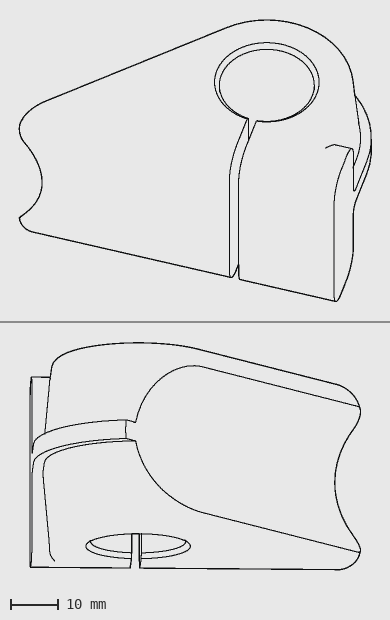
import cadquery as cq
import math

HEIGHT = 40.0
BODY_RADIUS = 19.9
BODY_DRAFT = 5.2
RIM_RADIUS = 1.7
CLAMP_ANGLE = -45
FACE_ALONG = 23.8
FACE_ROUNDING = 5.0

RIB_RADIUS = 22.0
RIB_WIDTH = 4.0
BLOCK_START = 9.8
RIB_BLOCK_FILLET = 2.0

GROOVE_RADIUS = 25.5
GROOVE_FLOOR = -13.0

BORE_RADIUS = 10.0
BORE_CHAMFER = 1.0
SLIT_WIDTH = 2.0

HALF_HEIGHT = HEIGHT / 2
DIAGONAL = math.sqrt(2)
ARC_MIDDLE_ANGLE = (180 - CLAMP_ANGLE) / 2


def clamp_point(along, across):
    """XY position of a point given in the clamp frame."""
    return ((along + across) / DIAGONAL, (across - along) / DIAGONAL)


def in_clamp_frame(shape):
    """Turn a shape modelled with X along and Y across the slit."""
    return shape.rotate((0, 0, 0), (0, 0, 1), CLAMP_ANGLE)


def clamp_bar(start, end, across_start, across_end):
    """Full-height bar between two distances along the slit."""
    bar = cq.Workplane("XY").box(end - start, across_end - across_start, HEIGHT)
    return bar.translate(((start + end) / 2, (across_start + across_end) / 2, 0))


def make_body():
    """Teardrop body, widest at mid height and rounded along its outer rim."""
    far_along = FACE_ALONG + BODY_RADIUS / DIAGONAL
    tip = (-BODY_RADIUS, -BODY_RADIUS - DIAGONAL * far_along)
    arc_middle = math.radians(ARC_MIDDLE_ANGLE)
    outline = (
        cq.Workplane("XY")
        .moveTo(*tip)
        .lineTo(-BODY_RADIUS, 0)
        .threePointArc(
            (BODY_RADIUS * math.cos(arc_middle), BODY_RADIUS * math.sin(arc_middle)),
            clamp_point(0, BODY_RADIUS),
        )
        .lineTo(*clamp_point(far_along, BODY_RADIUS))
        .close()
        .extrude(HALF_HEIGHT, taper=BODY_DRAFT)
    )
    reach = 4 * BODY_RADIUS
    envelope = clamp_bar(-reach, FACE_ALONG, -reach, reach).edges(">X and |Y").fillet(FACE_ROUNDING)
    upper = outline.intersect(in_clamp_frame(envelope))
    upper = upper.faces(">Z").edges("<X").fillet(RIM_RADIUS)
    body = upper.union(upper.mirror("XY"))
    corner = clamp_bar(BLOCK_START + FACE_ROUNDING, FACE_ALONG, 0, RIB_RADIUS)
    return body.cut(in_clamp_frame(corner))


def make_rib():
    """Thin mid-height rib around the round end and along the side face to the clamp block."""
    disc = cq.Workplane("XY").circle(RIB_RADIUS).extrude(RIB_WIDTH / 2, both=True)
    upper_half = cq.Workplane("XY").box(2 * RIB_RADIUS, RIB_RADIUS, RIB_WIDTH)
    upper_half = upper_half.translate((0, RIB_RADIUS / 2, 0))
    straight = cq.Workplane("XY").box(BLOCK_START, RIB_RADIUS, RIB_WIDTH)
    straight = straight.translate((BLOCK_START / 2, RIB_RADIUS / 2, 0))
    return disc.intersect(upper_half).union(in_clamp_frame(straight))


def make_rib_fillets():
    """Concave fillets between the rib's flat sides and the inner side of the clamp block."""
    start = BLOCK_START - RIB_BLOCK_FILLET
    half_outer = RIB_WIDTH / 2 + RIB_BLOCK_FILLET
    web = cq.Workplane("XY").box(RIB_BLOCK_FILLET, RIB_RADIUS, 2 * half_outer)
    web = web.translate((start + RIB_BLOCK_FILLET / 2, RIB_RADIUS / 2, 0))
    for side in (-1, 1):
        hollow = cq.Workplane("XZ").center(start, side * half_outer).circle(RIB_BLOCK_FILLET)
        web = web.cut(hollow.extrude(-RIB_RADIUS))
    return in_clamp_frame(web)


def make_clamp_block():
    """Raised block outside the slit, with rounded top and bottom corners."""
    block = clamp_bar(BLOCK_START, FACE_ALONG, 0, RIB_RADIUS)
    return in_clamp_frame(block.edges("|Y").fillet(FACE_ROUNDING))


def make_groove():
    """Shallow cylindrical seat along Y, hollowing the left side."""
    length = 4 * FACE_ALONG
    cylinder = cq.Workplane("XZ").circle(GROOVE_RADIUS).extrude(length, both=True)
    return cylinder.translate((GROOVE_FLOOR - GROOVE_RADIUS, 0, 0))


def make_bore():
    """Through bore with a chamfer at each mouth."""
    mouth = BORE_RADIUS + BORE_CHAMFER
    return (
        cq.Workplane("XZ")
        .moveTo(0, -HALF_HEIGHT)
        .lineTo(mouth, -HALF_HEIGHT)
        .lineTo(BORE_RADIUS, BORE_CHAMFER - HALF_HEIGHT)
        .lineTo(BORE_RADIUS, HALF_HEIGHT - BORE_CHAMFER)
        .lineTo(mouth, HALF_HEIGHT)
        .lineTo(0, HALF_HEIGHT)
        .close()
        .revolve(360, (0, 0), (0, 1))
    )


def make_slit():
    """Clamping slit from the bore out through the slanted face."""
    return in_clamp_frame(clamp_bar(0, FACE_ALONG, -SLIT_WIDTH / 2, SLIT_WIDTH / 2))


result = (
    make_body()
    .union(make_rib())
    .union(make_clamp_block())
    .union(make_rib_fillets())
    .cut(make_groove())
    .cut(make_bore())
    .cut(make_slit())
)